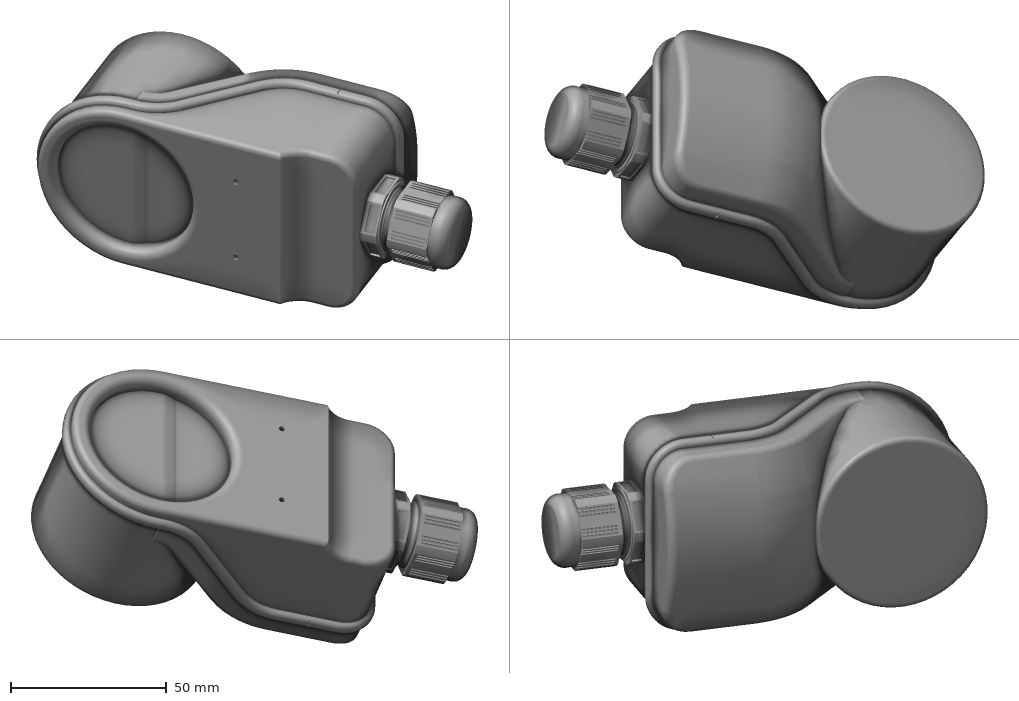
import cadquery as cq
import math


total_length = 141.8

base_radius = 30.0
base_end_x = 80.0
corner_radius = 10.2
draft_angle = 1.1
base_edge_fillet = 2.0
base_depth = 54.9

step_x = 55.6
step_run = 9.0
step_height = 5.1

parting_y = 5.7
parting_rise = 30.9
bend_start_x = 1.7
bend_radius = 20.0
bend_angle = math.radians(45)
parting_end_x = 99.3

bead_overhang = 2.0
bead_half_height = 2.0
bead_fillet = 1.7
bead_notch_x = 60.3
bead_notch_width = 0.5
bead_notch_depth = 0.5

cover_start_x = 1.1
cover_half_width = 30.3
cover_end_x = 80.7
cover_height = base_depth - parting_y - parting_rise
crown_radius = 56.7
cover_fillet = 2.7

cylinder_rear_y = 49.9
cylinder_rear_radius = 29.4
cylinder_fillet = 1.7

recess_radius = 24.0
recess_rim_fillet = 3.0
recess_depth = 4.8
floor_bend_x = 1.0
floor_bend_radius = 7.1
floor_slope = math.radians(14)
slope_end_x = 6.1

pin_x = 40.0
pin_z = 15.0
pin_diameter = 2.0
pin_depth = 2.8

gland_y = 21.0
gland_flats = 24.5
gland_corner_diameter = 26.8
nut_end_x = 85.6
collar_end_x = 86.1
collar_diameter = 24.0
shoulder_end_x = 86.6
shoulder_diameter = 20.8
neck_diameter = 20.0
neck_end_x = 87.8
flare_diameter = 21.8
flare_end_x = 88.8
cap_start_x = 89.5
cap_end_x = 103.2
dome_start_x = 105.2
dome_end_diameter = 18.2
gland_embedding = 1.4

flat_count = 6
pocket_length = 3.4
pocket_width = 9.4
pocket_depth = 0.5
groove_start_x = 90.8
groove_width = 0.5
groove_depth = 0.5
groove_offsets = (2.3, 3.4, 4.5)

wide = 2 * total_length
tolerance = 0.1
nearly_parallel = 0.99
diagonal = math.sin(math.radians(45))
draft_slope = math.tan(math.radians(draft_angle))

flange_radius = base_radius + bead_overhang + parting_y * draft_slope
gland_start_x = base_end_x - gland_embedding
gland_end_x = total_length - flange_radius

facing_rear = cq.Plane(origin=(0, 0, 0), xDir=(1, 0, 0), normal=(0, 1, 0))


def outline_prism(half_width, end_x, radius, draft):
    """Stadium-like outline with a rounded right end, extruded from front to rear."""
    straight_end = end_x - radius
    corner = radius * diagonal
    outline = (
        cq.Workplane(facing_rear)
        .moveTo(0, half_width)
        .lineTo(straight_end, half_width)
        .threePointArc((straight_end + corner, half_width - radius + corner), (end_x, half_width - radius))
        .lineTo(end_x, radius - half_width)
        .threePointArc((straight_end + corner, radius - half_width - corner), (straight_end, -half_width))
        .lineTo(0, -half_width)
        .threePointArc((-half_width, 0), (0, half_width))
        .close()
    )
    return outline.extrude(base_depth, taper=-draft)


def parting_path(offset, start_x):
    """Parting curve moved towards the rear by offset, from start_x to beyond the right end."""
    low_radius = bend_radius - offset
    high_radius = bend_radius + offset
    half, full = bend_angle / 2, bend_angle
    rise_in_arcs = 2 * bend_radius * (1 - math.cos(full))
    slope_run = (parting_rise - rise_in_arcs) / math.tan(full)
    high_x = bend_start_x + 2 * bend_radius * math.sin(full) + slope_run
    low_centre_y = parting_y + bend_radius
    high_centre_y = parting_y + parting_rise - bend_radius

    def low_arc(angle):
        return (bend_start_x + low_radius * math.sin(angle), low_centre_y - low_radius * math.cos(angle))

    def high_arc(angle):
        return (high_x - high_radius * math.sin(angle), high_centre_y + high_radius * math.cos(angle))

    return (
        cq.Workplane("XY")
        .moveTo(start_x, parting_y + offset)
        .lineTo(*low_arc(0))
        .threePointArc(low_arc(half), low_arc(full))
        .lineTo(*high_arc(full))
        .threePointArc(high_arc(half), high_arc(0))
        .lineTo(parting_end_x, parting_y + parting_rise + offset)
    )


def through_width(profile):
    return profile.close().extrude(wide / 2, both=True)


def parting_block(offset, far_y):
    """Everything between the parting curve moved by offset and the level far_y."""
    return through_width(parting_path(offset, -wide).lineTo(parting_end_x, far_y).lineTo(-wide, far_y))


def rim_edges(body, low_y, high_y):
    """Edges between two Y levels that run around the outline, not across it or along Y."""
    band = cq.selectors.BoxSelector((-wide, low_y, -wide), (wide, high_y, wide), boundingbox=True)

    def runs_around(edge):
        direction = edge.tangentAt(0.5)
        centre = edge.Center()
        on_midplane = abs(centre.z) < tolerance and 0 < centre.x < base_end_x - corner_radius
        crosses = on_midplane and abs(direction.z) > nearly_parallel
        return not crosses and abs(direction.y) < nearly_parallel

    return [edge for edge in body.edges(band).vals() if runs_around(edge)]


def make_base():
    body = outline_prism(base_radius, base_end_x, corner_radius, draft_angle)
    body = body.cut(parting_block(0, wide))

    arc_radius = (step_run**2 + step_height**2) / (2 * step_height)
    half_arc = math.asin(step_run / arc_radius) / 2
    flat_x = step_x + step_run
    arc_mid = (flat_x - arc_radius * math.sin(half_arc), step_height - arc_radius * (1 - math.cos(half_arc)))
    step = through_width(
        cq.Workplane("XY")
        .moveTo(step_x, 0)
        .threePointArc(arc_mid, (flat_x, step_height))
        .lineTo(wide, step_height)
        .lineTo(wide, -wide)
        .lineTo(step_x, -wide)
    )
    body = body.cut(step)

    front_rim = rim_edges(body, -tolerance, step_height + tolerance)
    return body.newObject(front_rim).fillet(base_edge_fillet)


def make_bead():
    ring = outline_prism(
        base_radius + bead_overhang, base_end_x + bead_overhang, corner_radius + bead_overhang, draft_angle
    )
    ring = ring.cut(parting_block(bead_half_height, wide))
    ring = ring.cut(parting_block(-bead_half_height, -wide))
    return ring.newObject(rim_edges(ring, -wide, wide)).fillet(bead_fillet)


def make_cover():
    edge_height = cover_height - crown_radius + math.sqrt(crown_radius**2 - cover_half_width**2)
    section_plane = cq.Plane(origin=(cover_start_x, parting_y, 0), xDir=(0, 0, -1), normal=(1, 0, 0))
    crowned = (
        cq.Workplane(section_plane)
        .moveTo(-cover_half_width, 0)
        .lineTo(cover_half_width, 0)
        .lineTo(cover_half_width, edge_height)
        .threePointArc((0, cover_height), (-cover_half_width, edge_height))
        .close()
        .sweep(parting_path(0, cover_start_x))
    )
    cover = crowned.intersect(outline_prism(cover_half_width, cover_end_x, corner_radius, 0))

    crown_faces = [face for face in cover.faces().vals() if face.normalAt().y > tolerance]
    crown_edges = [edge for face in crown_faces for edge in face.Edges()]

    def bounds_crown(edge):
        used_once = sum(edge.isSame(other) for other in crown_edges) == 1
        return used_once and edge.Center().x > cover_start_x + tolerance

    crown_rim = [edge for edge in crown_edges if bounds_crown(edge)]
    return cover.newObject(crown_rim).fillet(cover_fillet)


def make_cylinder():
    cone = (
        cq.Workplane(facing_rear)
        .workplane(offset=parting_y)
        .circle(base_radius)
        .workplane(offset=cylinder_rear_y - parting_y)
        .circle(cylinder_rear_radius)
        .loft(ruled=True)
    )
    return cone.faces(">Y").edges().fillet(cylinder_fillet)


def cut_recess(body):
    bend_end_x = floor_bend_x + floor_bend_radius * math.sin(floor_slope)
    bend_end_y = recess_depth + floor_bend_radius * (1 - math.cos(floor_slope))
    bend_mid_x = floor_bend_x + floor_bend_radius * math.sin(floor_slope / 2)
    bend_mid_y = recess_depth + floor_bend_radius * (1 - math.cos(floor_slope / 2))
    deep_floor_y = bend_end_y + (slope_end_x - bend_end_x) * math.tan(floor_slope)

    rim_radius = recess_radius + recess_rim_fillet
    arc_in = recess_rim_fillet * (1 - diagonal)
    pocket = (
        cq.Workplane("XY")
        .lineTo(rim_radius, 0)
        .threePointArc((recess_radius + arc_in, arc_in), (recess_radius, recess_rim_fillet))
        .lineTo(recess_radius, deep_floor_y)
        .lineTo(0, deep_floor_y)
        .close()
        .revolve(360, (0, 0, 0), (0, 1, 0))
    )
    floor = through_width(
        cq.Workplane("XY")
        .moveTo(-wide, recess_depth)
        .lineTo(floor_bend_x, recess_depth)
        .threePointArc((bend_mid_x, bend_mid_y), (bend_end_x, bend_end_y))
        .lineTo(slope_end_x, deep_floor_y)
        .lineTo(slope_end_x, wide)
        .lineTo(-wide, wide)
    )
    return body.cut(pocket.cut(floor))


def cut_pin_holes(body):
    pins = (
        cq.Workplane(facing_rear)
        .pushPoints([(pin_x, pin_z), (pin_x, -pin_z)])
        .circle(pin_diameter / 2)
        .extrude(pin_depth)
    )
    return body.cut(pins)


def cut_bead_notches(body):
    notch_y = parting_y + parting_rise
    bead_side = base_radius + bead_overhang + notch_y * draft_slope
    for side in (1, -1):
        notch = cq.Workplane("XY").box(bead_notch_width, 2 * bead_half_height, 2 * bead_notch_depth)
        body = body.cut(notch.translate((bead_notch_x, notch_y, side * bead_side)))
    return body


def clipped_hexagon(start_x, end_x):
    """Hexagonal bar with flats at +Z and -Z, its corners turned down to a cylinder."""
    corners = gland_flats / math.cos(math.pi / flat_count)
    bar = cq.Workplane("YZ", origin=(start_x, 0, 0)).polygon(flat_count, corners).extrude(end_x - start_x)
    turned = cq.Workplane("YZ", origin=(start_x, 0, 0)).circle(gland_corner_diameter / 2)
    return bar.intersect(turned.extrude(end_x - start_x))


def make_gland():
    nut = clipped_hexagon(gland_start_x, nut_end_x)
    cap = clipped_hexagon(cap_start_x, cap_end_x)

    pocket_x = (cover_end_x + nut_end_x) / 2
    pocket = cq.Workplane("XY").box(pocket_length, pocket_width, 2 * pocket_depth)
    pocket = pocket.translate((pocket_x, 0, gland_flats / 2))
    groove_length = cap_end_x - groove_start_x
    groove = cq.Workplane("XY").box(groove_length, groove_width, 2 * groove_depth)
    groove = groove.translate((groove_start_x + groove_length / 2, 0, gland_flats / 2))
    for flat in range(flat_count):
        turn = 360 / flat_count * flat
        nut = nut.cut(pocket.rotate((0, 0, 0), (1, 0, 0), turn))
        for offset in groove_offsets:
            for side in (1, -1):
                placed = groove.translate((0, side * offset, 0))
                cap = cap.cut(placed.rotate((0, 0, 0), (1, 0, 0), turn))

    dome_mid_x = dome_start_x + (gland_end_x - dome_start_x) * diagonal
    dome_drop = (collar_diameter - dome_end_diameter) / 2
    dome_mid_radius = collar_diameter / 2 - dome_drop * (1 - diagonal)
    core = (
        cq.Workplane("XY")
        .moveTo(gland_start_x, 0)
        .lineTo(gland_start_x, neck_diameter / 2)
        .lineTo(nut_end_x, neck_diameter / 2)
        .lineTo(nut_end_x, collar_diameter / 2)
        .lineTo(collar_end_x, collar_diameter / 2)
        .lineTo(collar_end_x, shoulder_diameter / 2)
        .lineTo(shoulder_end_x, shoulder_diameter / 2)
        .lineTo(shoulder_end_x, neck_diameter / 2)
        .lineTo(neck_end_x, neck_diameter / 2)
        .lineTo(flare_end_x, flare_diameter / 2)
        .lineTo(cap_end_x, flare_diameter / 2)
        .lineTo(cap_end_x, collar_diameter / 2)
        .lineTo(dome_start_x, collar_diameter / 2)
        .threePointArc((dome_mid_x, dome_mid_radius), (gland_end_x, dome_end_diameter / 2))
        .lineTo(gland_end_x, 0)
        .close()
        .revolve(360, (0, 0, 0), (1, 0, 0))
    )
    return core.union(nut).union(cap).translate((0, gland_y, 0))


housing = make_base().union(make_cover()).union(make_cylinder()).union(make_bead())
housing = cut_recess(housing)
housing = cut_pin_holes(housing)
housing = cut_bead_notches(housing)
result = housing.union(make_gland())